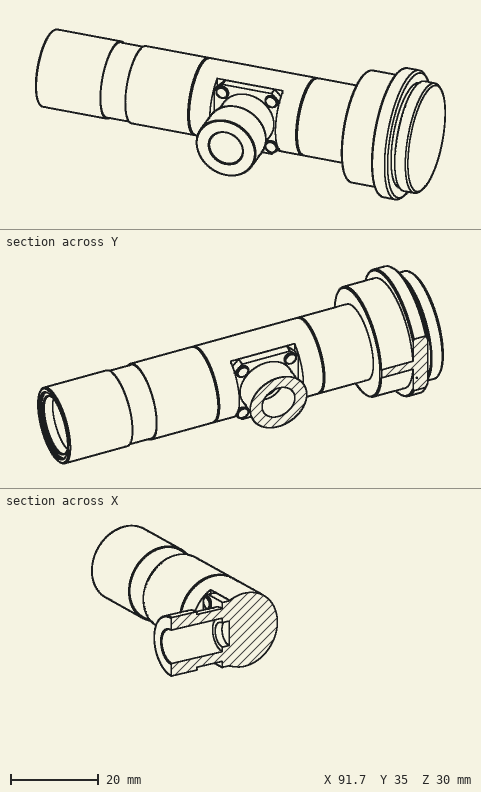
import cadquery as cq
total_length = 91.7
barrel_radius = 9.0
neck_start = 15.8
neck_end = 21.8
neck_radius = 8.7
joint_positions = (37.2, 63.4)
joint_half_width = 0.2
joint_depth = 0.2
edge_chamfer = 0.3

head_start = 75.7
head_radius = 13.0
flange_start = 83.8
flange_end = 87.5
flange_radius = 30.0 / 2
flange_rear_chamfer = 0.55
relief_end = 88.6
relief_radius = 12.2
spigot_radius = 12.7
spigot_chamfer = 0.5

recess_mouth_radius = 7.8
recess_mouth_depth = 0.55
recess_radius = 6.8
recess_depth = 2.8
recess_chamfer = 0.2
lens_bulge = 0.2
lens_backing = 0.9

port_x = 50.3
plate_side = 15.95
flat_distance = 4.0
plate_thickness = 2.0
plate_face = flat_distance + plate_thickness
screw_offset = 6.0
screw_radius = 1.5
screw_height = 0.5
screw_chamfer = 0.2
plate_corner_chamfer = plate_side / 2 - screw_offset

port_reach = 20.0
stem_radius = 6.5
collar_radius = 14.4 / 2
collar_length = 7.15
collar_chamfer = 0.2
port_bore_radius = 4.0
port_bore_chamfer = 0.2
port_inner_radius = 2.9
port_inner_depth = 1.8


def x_cylinder(start, end, radius, taper=0):
    """Round bar on the X axis between two stations, narrowing from its start if tapered."""
    return cq.Workplane("YZ", origin=(start, 0, 0)).circle(radius).extrude(end - start, taper=taper)


def port_cylinder(start, end, radius, taper=0):
    """Round bar on the port axis between two distances from the barrel axis, pointing to -Y."""
    plane = cq.Workplane("XZ", origin=(port_x, -start, 0))
    return plane.circle(radius).extrude(end - start, taper=taper)


def joint_groove(position):
    """Fine V-shaped ring around the barrel."""
    profile = [
        (position - joint_half_width, barrel_radius),
        (position, barrel_radius - joint_depth),
        (position + joint_half_width, barrel_radius),
    ]
    return cq.Workplane("XY").polyline(profile).close().revolve(360, (0, 0, 0), (1, 0, 0))


def make_barrel():
    front = x_cylinder(0, neck_start, barrel_radius).faces("<X").chamfer(edge_chamfer)
    neck = x_cylinder(neck_start, neck_end, neck_radius)
    tube = x_cylinder(neck_end, head_start, barrel_radius)
    for position in joint_positions:
        tube = tube.cut(joint_groove(position))
    return front.union(neck).union(tube)


def make_head():
    head = x_cylinder(head_start, flange_start, head_radius).faces("<X").chamfer(edge_chamfer)
    flange = x_cylinder(flange_start, flange_end, flange_radius)
    flange = flange.faces("<X").chamfer(edge_chamfer)
    flange = flange.faces(">X").chamfer(flange_rear_chamfer)
    relief = x_cylinder(flange_end, relief_end, relief_radius)
    spigot = x_cylinder(relief_end, total_length, spigot_radius).faces(">X").chamfer(spigot_chamfer)
    return head.union(flange).union(relief).union(spigot)


def make_end_recess():
    recess = x_cylinder(0, recess_depth, recess_radius)
    recess = recess.union(x_cylinder(0, recess_mouth_depth, recess_mouth_radius))
    for start, radius in ((0, recess_mouth_radius), (recess_mouth_depth, recess_radius)):
        rim = x_cylinder(start, start + recess_chamfer, radius + recess_chamfer, taper=45)
        recess = recess.union(rim)
    return recess


def make_lens():
    """Slightly domed floor of the end recess, bulging toward -X."""
    apex = (recess_depth - lens_bulge, 0)
    sphere_radius = (recess_radius**2 + lens_bulge**2) / (2 * lens_bulge)
    rim = (recess_depth, recess_radius)
    return (
        cq.Workplane("XY")
        .moveTo(*apex)
        .radiusArc(rim, sphere_radius)
        .lineTo(recess_depth + lens_backing, recess_radius)
        .lineTo(recess_depth + lens_backing, 0)
        .close()
        .revolve(360, (0, 0, 0), (1, 0, 0))
    )


def make_flat_cut():
    """Block that removes the -Y side of the barrel over the width of the plate."""
    plane = cq.Workplane("XZ", origin=(port_x, -flat_distance, 0))
    return plane.rect(plate_side, 2 * barrel_radius).extrude(barrel_radius)


def make_plate():
    plane = cq.Workplane("XZ", origin=(port_x, -flat_distance, 0))
    plate = plane.rect(plate_side, plate_side).extrude(plate_thickness)
    plate = plate.edges("|Y").chamfer(plate_corner_chamfer)
    screws = (
        cq.Workplane("XZ", origin=(port_x, -plate_face, 0))
        .rect(2 * screw_offset, 2 * screw_offset, forConstruction=True)
        .vertices()
        .circle(screw_radius)
        .extrude(screw_height)
        .faces("<Y")
        .chamfer(screw_chamfer)
    )
    return plate.union(screws)


def make_port():
    collar_start = port_reach - collar_length
    stem = port_cylinder(flat_distance, collar_start, stem_radius)
    collar = port_cylinder(collar_start, port_reach, collar_radius)
    collar = collar.faces("<Y or >Y").chamfer(collar_chamfer)
    return stem.union(collar)


def make_port_bore():
    bore = port_cylinder(plate_face, port_reach, port_bore_radius)
    rim = port_cylinder(port_reach - port_bore_chamfer, port_reach, port_bore_radius, taper=-45)
    inner_hole = port_cylinder(plate_face - port_inner_depth, plate_face, port_inner_radius)
    return bore.union(rim).union(inner_hole)


body = make_barrel().union(make_head())
body = body.cut(make_end_recess()).union(make_lens())
body = body.cut(make_flat_cut()).union(make_plate())
result = body.union(make_port()).cut(make_port_bore())